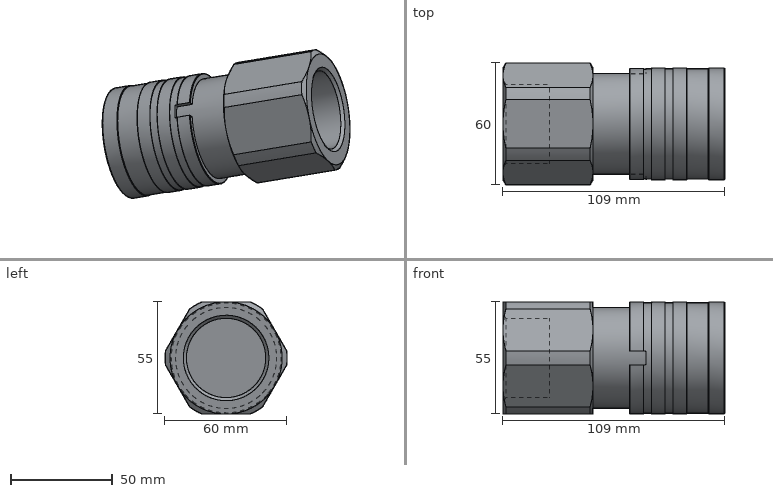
import cadquery as cq
import math


total_length = 109.0

nut_length = 44.1
across_flats = 55.0
nut_corner_diameter = 60.0
nut_bevel_angle = 30.0

bore_diameter = 38.9
bore_mouth_diameter = 42.0
bore_depth = 22.9

neck_diameter = 49.6

sleeve_start = 62.0
sleeve_diameter = 54.9
sleeve_front_chamfer = 0.3
sleeve_end_chamfer = 0.5

groove_depth = 0.3
square_grooves = [(69.0, 72.9), (79.6, 83.4)]
wide_groove = (90.0, 100.9)
wide_groove_wall_run = 0.3

slot_width = 6.8
slot_end = 70.2
slot_corner_radius = 0.7

nut_radius = across_flats / 2
nut_corner_radius = nut_corner_diameter / 2
bore_radius = bore_diameter / 2
bore_mouth_radius = bore_mouth_diameter / 2
neck_radius = neck_diameter / 2
sleeve_radius = sleeve_diameter / 2


def revolve_about_x(points):
    """Revolve a closed outline of (x, radius) points about the X axis."""
    return cq.Workplane("XY").polyline(points).close().revolve(360, (0, 0, 0), (1, 0, 0))


def cylinder(start, end, radius):
    """Cylinder on the X axis from start to end."""
    return cq.Workplane("YZ", origin=(start, 0, 0)).circle(radius).extrude(end - start)


def make_nut():
    """Hexagon with flats facing +Z and -Z, turned down at its corners and beveled at both ends."""
    corner_distance = across_flats / math.cos(math.radians(30))
    hexagon = cq.Workplane("YZ").polygon(6, corner_distance).extrude(nut_length)
    bevel_run = (nut_corner_radius - nut_radius) * math.tan(math.radians(nut_bevel_angle))
    envelope = revolve_about_x([
        (0, 0),
        (0, nut_radius),
        (bevel_run, nut_corner_radius),
        (nut_length - bevel_run, nut_corner_radius),
        (nut_length, nut_radius),
        (nut_length, 0),
    ])
    return hexagon.intersect(envelope)


def make_bore():
    """Blind bore with a 45 degree countersunk mouth."""
    mouth_depth = bore_mouth_radius - bore_radius
    return revolve_about_x([
        (0, 0),
        (0, bore_mouth_radius),
        (mouth_depth, bore_radius),
        (bore_depth, bore_radius),
        (bore_depth, 0),
    ])


def make_groove(start, end, wall_run=0.0):
    """Ring to cut from the sleeve; wall_run is the length of each sloping wall along X."""
    floor_radius = sleeve_radius - groove_depth
    clear_radius = sleeve_radius + groove_depth
    return revolve_about_x([
        (start, clear_radius),
        (start, sleeve_radius),
        (start + wall_run, floor_radius),
        (end - wall_run, floor_radius),
        (end, sleeve_radius),
        (end, clear_radius),
    ])


def make_slots():
    """Slots on both Y sides, open toward the nut, with the neck surface as their floor."""
    slot_length = slot_end - sleeve_start
    bar = (
        cq.Workplane("XY")
        .box(slot_length, sleeve_diameter, slot_width, centered=(False, True, True))
        .translate((sleeve_start, 0, 0))
        .edges("|Y and >X")
        .fillet(slot_corner_radius)
    )
    return bar.cut(cylinder(sleeve_start, slot_end, neck_radius))


def make_sleeve():
    """Sleeve with chamfered ends, three grooves and two key slots."""
    sleeve = cylinder(sleeve_start, total_length, sleeve_radius)
    sleeve = sleeve.faces("<X").chamfer(sleeve_front_chamfer)
    sleeve = sleeve.faces(">X").chamfer(sleeve_end_chamfer)
    for start, end in square_grooves:
        sleeve = sleeve.cut(make_groove(start, end))
    sleeve = sleeve.cut(make_groove(*wide_groove, wall_run=wide_groove_wall_run))
    return sleeve.cut(make_slots())


neck = cylinder(nut_length, sleeve_start, neck_radius)
result = make_nut().union(neck).union(make_sleeve()).cut(make_bore())